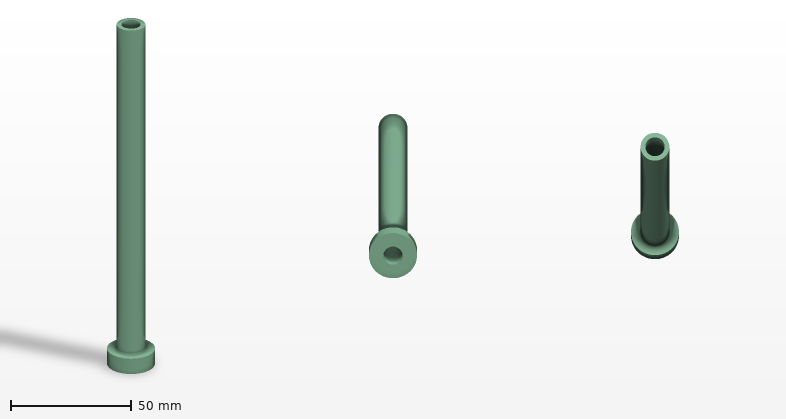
import cadquery as cq

total_length = 157.0
head_diameter = 20.0
head_height = 7.0
tube_diameter = 12.0
bore_diameter = 8.0
root_fillet = 0.8


def make_head():
    return cq.Workplane("XY").circle(head_diameter / 2).extrude(head_height)


def make_tube():
    return cq.Workplane("XY").circle(tube_diameter / 2).extrude(total_length)


def fillet_tube_root(body):
    """Round the inside corner where the tube meets the head."""
    root_edge = cq.selectors.RadiusNthSelector(0)
    return body.faces("<Z[1]").edges(root_edge).fillet(root_fillet)


body = fillet_tube_root(make_head().union(make_tube()))
bore = cq.Workplane("XY").circle(bore_diameter / 2).extrude(total_length)
result = body.cut(bore)